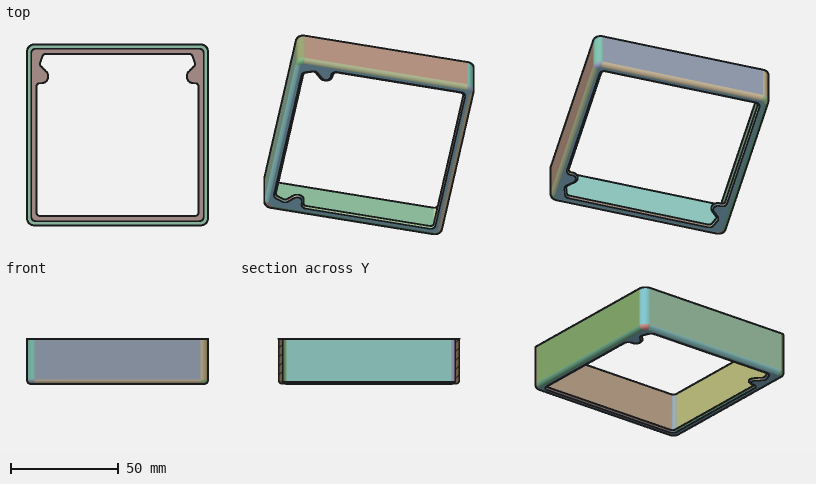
import cadquery as cq

side = 84.0
height = 21.0
wall = 2.1
floor_thickness = 1.0
lip_inset = 4.5
outer_radius = 3.5
inner_radius = 1.8
bottom_fillet = 2.0
opening_radius = 1.4
opening_edge_land = 0.1
opening_bevel = floor_thickness - opening_edge_land

nose_inset = 9.9
nose_radius = 3.1
tab_front_inset = 18.1
nose_rear_inset = 13.5
notch_side_inset = 5.9
notch_rear_inset = nose_rear_inset - (nose_inset - notch_side_inset)
rear_corner_inset = 7.65
notch_radius = 1.4

half = side / 2


def rounded_block(width, block_height, radius):
    """Square block standing on Z = 0 with rounded vertical edges."""
    block = cq.Workplane("XY").box(width, width, block_height, centered=(True, True, False))
    return block.edges("|Z").fillet(radius)


def make_shell():
    outer = rounded_block(side, height, outer_radius)
    outer = outer.faces("<Z").edges().fillet(bottom_fillet)
    cavity = rounded_block(side - 2 * wall, height, inner_radius)
    return outer.cut(cavity.translate((0, 0, floor_thickness)))


def make_opening():
    """Floor opening, symmetric about X = 0, shaped around the two tabs."""
    corners = [
        (lip_inset, side - lip_inset, opening_radius),
        (lip_inset, tab_front_inset, opening_radius),
        (nose_inset, tab_front_inset, nose_radius),
        (nose_inset, nose_rear_inset, nose_radius),
        (notch_side_inset, notch_rear_inset, notch_radius),
        (rear_corner_inset, lip_inset, opening_radius),
    ]
    right = [(half - x_inset, half - y_inset) for x_inset, y_inset, _ in corners]
    left = [(-x, y) for x, y in reversed(right)]
    opening = cq.Workplane("XY").polyline(right + left).close().extrude(floor_thickness)
    for (x, y), (_, _, radius) in zip(right, corners):
        for corner_x in (x, -x):
            corner = cq.selectors.NearestToPointSelector((corner_x, y, floor_thickness / 2))
            opening = opening.edges("|Z").edges(corner).fillet(radius)
    return opening


def bevel_opening(frame):
    """Bevel the underside of the opening at 45 degrees, leaving a thin edge at the top."""
    rim_edges = frame.faces("<Z").val().innerWires()[0].Edges()
    return frame.newObject(rim_edges).chamfer(opening_bevel)


result = bevel_opening(make_shell().cut(make_opening()))